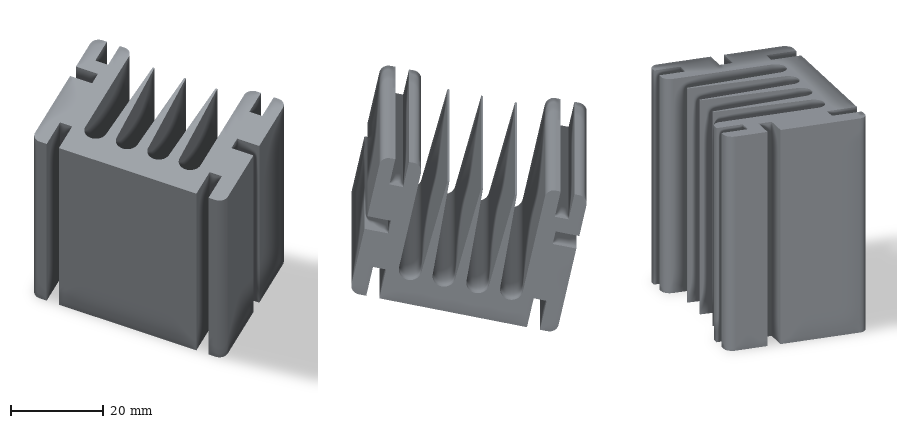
import cadquery as cq

width = 46.0
depth = 33.0
height = 50.0
corner_radius = 2.0

fin_count = 3
fin_pitch = 7.5
fin_tip_width = 0.4
fin_tip_drop = 2.8
channel_radius = 2.5
channel_floor = 5.6

top_slot_width = 3.05
top_slot_depth = 6.1
side_slot_width = 3.05
side_slot_depth = 5.25
left_slot_drop = 11.0
right_slot_drop = 16.0
base_slot_width = 2.9
base_slot_depth = 7.0
base_slot_offset = 17.85

cavity_width = fin_count * fin_pitch + 2 * channel_radius
post_width = (width - cavity_width) / 2
post_offset = (width - post_width) / 2
channel_center_y = channel_floor + channel_radius
fin_tip_y = depth - fin_tip_drop
fin_positions = [(i - (fin_count - 1) / 2) * fin_pitch for i in range(fin_count)]


def block(size_x, size_y, center_x, center_y):
    """Full-height block centred at the given place in the section."""
    return cq.Workplane("XY").box(size_x, size_y, height, (True, True, False)).translate(
        (center_x, center_y, 0)
    )


def make_body():
    """U-shaped section with rounded outer corners and rounded post tips."""
    body = block(width, depth, 0, depth / 2).edges("|Z").fillet(corner_radius)
    cavity_depth = depth - channel_center_y
    body = body.cut(block(cavity_width, cavity_depth, 0, depth - cavity_depth / 2))
    half_cavity = cavity_width / 2
    margin = 0.5
    inner_tips = cq.selectors.BoxSelector(
        (-half_cavity - margin, depth - margin, -margin),
        (half_cavity + margin, depth + margin, height + margin),
    )
    return body.edges("|Z").edges(inner_tips).fillet(corner_radius)


def cut_channel_bottoms(body):
    """Round the floor of every channel."""
    for i in range(fin_count + 1):
        center_x = (i - fin_count / 2) * fin_pitch
        channel = cq.Workplane("XY").center(center_x, channel_center_y).circle(channel_radius)
        body = body.cut(channel.extrude(height))
    return body


def make_fin(center_x):
    """Tapered fin standing between two channel floors."""
    half_root = fin_pitch / 2 - channel_radius
    half_tip = fin_tip_width / 2
    outline = [
        (center_x - half_root, channel_center_y),
        (center_x + half_root, channel_center_y),
        (center_x + half_tip, fin_tip_y),
        (center_x - half_tip, fin_tip_y),
    ]
    return cq.Workplane("XY").polyline(outline).close().extrude(height)


def cut_slots(body):
    """Cut the slots in the post tips, the base and the two outer sides."""
    for side, side_slot_drop in ((-1, left_slot_drop), (1, right_slot_drop)):
        top_slot_y = depth - top_slot_depth / 2
        body = body.cut(block(top_slot_width, top_slot_depth, side * post_offset, top_slot_y))
        base_slot_x = side * base_slot_offset
        body = body.cut(block(base_slot_width, base_slot_depth, base_slot_x, base_slot_depth / 2))
        side_slot_x = side * (width - side_slot_depth) / 2
        side_slot_y = depth - side_slot_drop
        body = body.cut(block(side_slot_depth, side_slot_width, side_slot_x, side_slot_y))
    return body


result = cut_slots(cut_channel_bottoms(make_body()))
for fin_x in fin_positions:
    result = result.union(make_fin(fin_x))